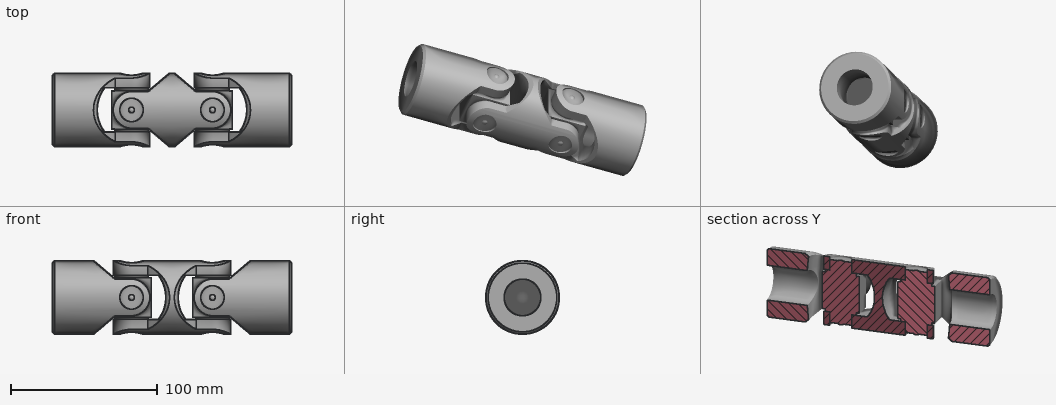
import cadquery as cq

length = 163.0
body_dia = 50.0
joint_pitch = 55.1
bore_dia = 25.0
end_chamfer = 1.6

ear_width = 25.0
ear_gap = 30.0
slot_radius = 23.0
slot_mid_radius = 24.6
taper_start = 25.9
taper_end = 11.1

block_length = 27.0
block_width = 26.0
collar_dia = 23.0
pin_dia = 16.0
pin_length = 46.0
button_dia = 3.9
button_height = 0.7

body_radius = body_dia / 2
ear_radius = ear_width / 2
joint_x = joint_pitch / 2
end_reach = length / 2 - joint_x


def fork_slot():
    """Barrel-shaped slot between the ears, revolved about Y and as thick as the ear gap."""
    barrel = (
        cq.Workplane("XY")
        .moveTo(0, -body_radius)
        .lineTo(slot_radius, -body_radius)
        .threePointArc((slot_mid_radius, 0), (slot_radius, body_radius))
        .lineTo(0, body_radius)
        .close()
        .revolve(360, (0, 0, 0), (0, 1, 0))
    )
    return barrel.intersect(cq.Workplane("XY").box(2 * body_dia, body_dia, ear_gap))


def forked_end(reach):
    """One fork with its pin on the Z axis at the origin and its shank running to X = reach."""
    outline = (
        cq.Workplane("XY")
        .moveTo(0, ear_radius)
        .lineTo(taper_end, ear_radius)
        .lineTo(taper_start, body_radius)
        .lineTo(reach, body_radius)
        .lineTo(reach, -body_radius)
        .lineTo(taper_start, -body_radius)
        .lineTo(taper_end, -ear_radius)
        .lineTo(0, -ear_radius)
        .threePointArc((-ear_radius, 0), (0, ear_radius))
        .close()
        .extrude(body_radius, both=True)
    )
    barrel_length = ear_radius + reach
    barrel = cq.Workplane("YZ", origin=(-ear_radius, 0, 0)).circle(body_radius).extrude(barrel_length)
    pin_hole = cq.Workplane("XY").circle(pin_dia / 2).extrude(body_radius, both=True)
    return barrel.intersect(outline).cut(fork_slot()).cut(pin_hole)


def end_yoke():
    """Bored end yoke on the +X side, with its ears on the Y sides."""
    return (
        forked_end(end_reach)
        .faces(">X").chamfer(end_chamfer)
        .cut(cq.Workplane("YZ").circle(bore_dia / 2).extrude(end_reach))
        .rotate((0, 0, 0), (1, 0, 0), 90)
        .translate((joint_x, 0, 0))
    )


def double_yoke():
    """Central yoke: two forks back to back, with their ears on the Z sides."""
    left_fork = forked_end(joint_x).translate((-joint_x, 0, 0))
    right_fork = left_fork.rotate((0, 0, 0), (0, 0, 1), 180)
    return left_fork.union(right_fork)


def trunnion():
    """Collar, pin and domed buttons of one cross axis, along Z."""
    collar = cq.Workplane("XY").circle(collar_dia / 2).extrude(ear_gap / 2, both=True)
    dome_radius = (button_dia**2 / 4 + button_height**2) / (2 * button_height)
    pin_with_buttons = (
        cq.Workplane("XZ")
        .lineTo(pin_dia / 2, 0)
        .lineTo(pin_dia / 2, pin_length / 2)
        .lineTo(button_dia / 2, pin_length / 2)
        .radiusArc((0, pin_length / 2 + button_height), -dome_radius)
        .close()
        .revolve(360, (0, 0, 0), (0, 1, 0))
    )
    return collar.union(pin_with_buttons).union(pin_with_buttons.mirror("XY"))


def cross(x):
    """Cross with its centre at the given X."""
    block = cq.Workplane("XY").box(block_length, block_width, block_length)
    upright = trunnion()
    crosswise = upright.rotate((0, 0, 0), (1, 0, 0), 90)
    return block.union(upright).union(crosswise).translate((x, 0, 0))


right_yoke = end_yoke()
left_yoke = right_yoke.mirror("YZ")
centre_yoke = double_yoke()
crosses = [cross(x) for x in (-joint_x, joint_x)]

result = cq.Compound.makeCompound([
    left_yoke.val(),
    right_yoke.val(),
    centre_yoke.val(),
    *[body.val() for body in crosses],
])